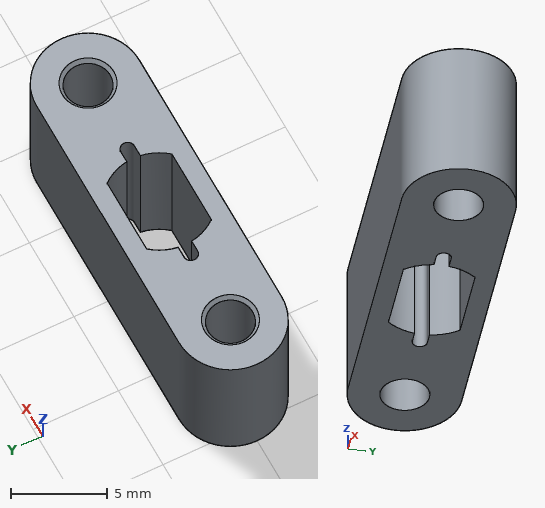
import cadquery as cq

length = 22.0
width = 6.0
height = 8.0
end_center_x = (length - width) / 2

hole_diameter = 2.6
hole_mouth_diameter = 3.01
hole_chamfer = (hole_mouth_diameter - hole_diameter) / 2

opening_diameter = 5.83
opening_width = 3.78

slot_length = 7.88
slot_width = 0.8


def make_body():
    return cq.Workplane("XY").slot2D(length, width).extrude(height)


def make_screw_holes():
    """Through holes with a chamfered mouth on the top face."""
    holes = (
        cq.Workplane("XY")
        .pushPoints([(-end_center_x, 0), (end_center_x, 0)])
        .circle(hole_diameter / 2)
        .extrude(height)
    )
    for side in (-1, 1):
        mouth = (
            cq.Workplane("XY", origin=(side * end_center_x, 0, height - hole_chamfer))
            .circle(hole_diameter / 2)
            .workplane(offset=hole_chamfer)
            .circle(hole_mouth_diameter / 2)
            .loft()
        )
        holes = holes.union(mouth)
    return holes


def make_opening():
    """Circle trimmed by two flats parallel to X."""
    flats = cq.Workplane("XY").rect(opening_diameter, opening_width).extrude(height)
    return cq.Workplane("XY").circle(opening_diameter / 2).extrude(height).intersect(flats)


def make_side_slots():
    """One long slot that shows on both sides of the opening."""
    return cq.Workplane("XY").slot2D(slot_length, slot_width).extrude(height)


result = (
    make_body()
    .cut(make_screw_holes())
    .cut(make_opening())
    .cut(make_side_slots())
)